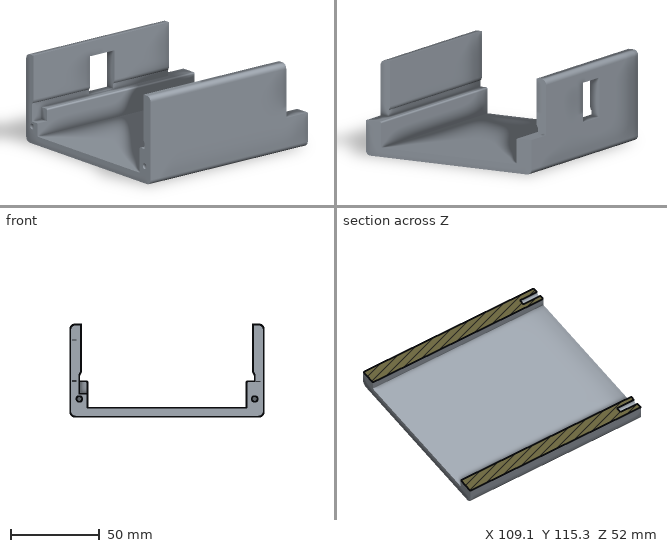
import cadquery as cq
import math

width = 109.1
length = 115.3
height = 52.0
half_width = width / 2
corner_radius = 3.0

floor_thickness = 5.2
upper_wall = 6.2
groove_wall = 5.2
ledge_width = 9.9
ledge_height = 20.1
ledge_edge_radius = 0.9
groove_top = 23.6
lip_radius = 3.0

rear_step_length = 15.8
window_front = 41.6
window_width = 17.8
window_bottom = 20.5
window_top = 43.4
notch_length = 7.0
notch_bottom = 12.9
hole_diameter = 3.2
hole_depth = 11.5
hole_inset = 5.2
hole_height = 10.0


def box(x_min, x_max, y_min, y_max, z_min, z_max):
    """Box given by its limits on each axis."""
    size = (x_max - x_min, y_max - y_min, z_max - z_min)
    return cq.Workplane("XY").box(*size, centered=False).translate((x_min, y_min, z_min))


def make_body():
    """Rounded bar, with the open channel removed along its whole length."""
    body = box(-half_width, half_width, 0, length, 0, height)
    return body.edges("|Y").fillet(corner_radius).cut(make_channel())


def make_channel():
    """Stepped opening between the two side walls, symmetric about X = 0."""
    upper_x = half_width - upper_wall
    groove_x = half_width - groove_wall
    ledge_x = half_width - ledge_width

    lip_angle = math.acos(1 - (groove_x - upper_x) / lip_radius)
    lip_top = groove_top + lip_radius * math.sin(lip_angle)
    lip_mid_x = upper_x + lip_radius * (1 - math.cos(lip_angle / 2))
    lip_mid_z = lip_top - lip_radius * math.sin(lip_angle / 2)

    edge_mid = ledge_edge_radius * (1 - math.sqrt(0.5))

    half = (
        cq.Workplane("XZ")
        .moveTo(0, floor_thickness)
        .lineTo(ledge_x, floor_thickness)
        .lineTo(ledge_x, ledge_height - ledge_edge_radius)
        .threePointArc(
            (ledge_x + edge_mid, ledge_height - edge_mid),
            (ledge_x + ledge_edge_radius, ledge_height),
        )
        .lineTo(groove_x, ledge_height)
        .lineTo(groove_x, groove_top)
        .threePointArc((lip_mid_x, lip_mid_z), (upper_x, lip_top))
        .lineTo(upper_x, height)
        .lineTo(0, height)
        .close()
        .extrude(-length)
    )
    return half.union(half.mirror("YZ"))


def make_rear_step():
    """Space that lowers both walls to ledge height at the rear."""
    return box(-half_width, half_width, length - rear_step_length, length, ledge_height, height)


def make_window():
    """Rectangular opening through the -X wall, just above the ledge."""
    return box(
        -half_width, -half_width + ledge_width,
        window_front, window_front + window_width,
        window_bottom, window_top,
    )


def make_ledge_notch():
    """Shortens the upper part of the -X ledge at the front."""
    return box(
        -half_width + groove_wall, -half_width + ledge_width,
        0, notch_length,
        notch_bottom, ledge_height,
    )


def make_screw_holes():
    """Blind hole in the front end of the foot of each wall."""
    hole_x = half_width - hole_inset
    return (
        cq.Workplane("XZ")
        .pushPoints([(-hole_x, hole_height), (hole_x, hole_height)])
        .circle(hole_diameter / 2)
        .extrude(-hole_depth)
    )


result = (
    make_body()
    .cut(make_rear_step())
    .cut(make_window())
    .cut(make_ledge_notch())
    .cut(make_screw_holes())
)